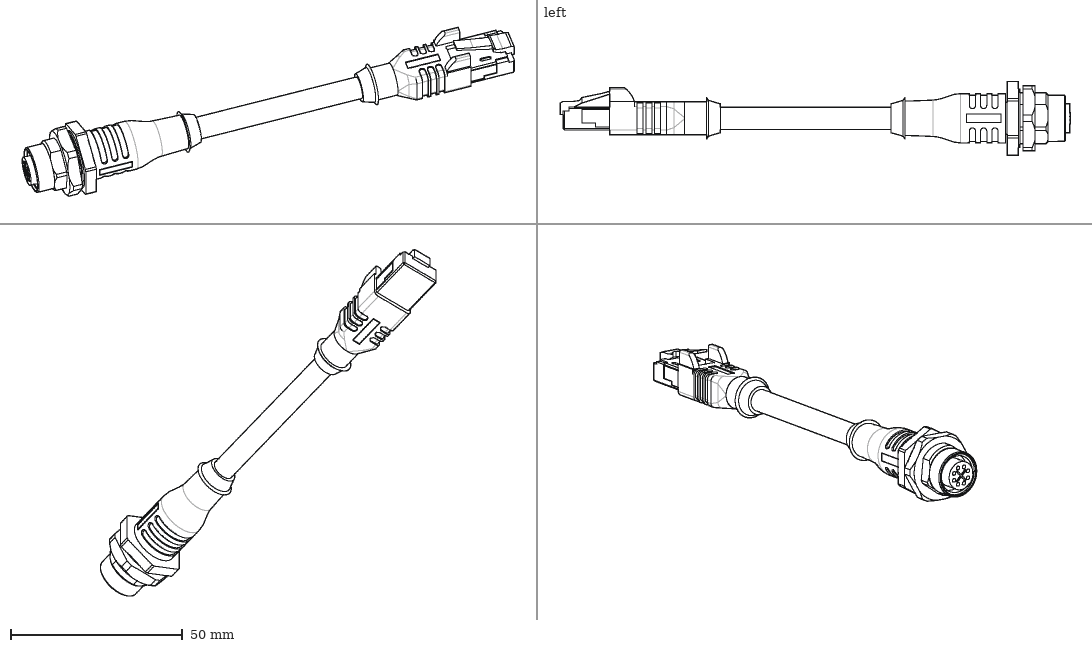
import cadquery as cq
import math

TOTAL_LENGTH = 148.7
BIG = 29.7
OVERLAP = 0.3

INSERT_DIAMETER = 8.5
CROSS_HEIGHT = 0.1
CROSS_LENGTH = 4.5
CROSS_WIDTH = 0.5
CONTACT_DIAMETER = 1.1
CONTACT_RADIUS = 2.7
CONTACT_SPREAD = 23.0
CONTACT_DEPTH = 3.0
SHELL_FRONT = 1.5
SHELL_DIAMETER = 13.5
SHELL_CHAMFER = 0.3
SHELL_MOUTH_DIAMETER = 12.3
SHELL_MOUTH_DEPTH = 0.7
SHELL_BORE_DIAMETER = 11.0
SHELL_BORE_DEPTH = 3.7

BODY_FRONT = 6.5
BODY_ACROSS_FLATS = 13.5
BODY_FLAT_ANGLES = (6, 126, 186, 306)
BODY_DIAMETER = 15.0
BODY_CHAMFER = 0.6
NUT_FRONT = 10.3
NUT_BACK = 13.8
HEX_ACROSS_FLATS = 19.0
NUT_CORNER_DIAMETER = 21.0
NUT_CHAMFER = 0.9
FLANGE_RING_FRONT = 14.7
FLANGE_RING_DIAMETER = 17.1
FLANGE_FRONT = 15.2
FLANGE_BACK = 18.5
FLANGE_CORNER_DIAMETER = 21.5
FLANGE_TURN = 30

NECK_DIAMETER = 9.4
GRIP_FRONT = 18.9
GRIP_BACK = 32.0
GRIP_DIAMETER = 14.4
SLEEVE_FRONT = 40.0
SLEEVE_FRONT_DIAMETER = 10.7
SLEEVE_BACK_DIAMETER = 10.1
LIP_FRONT = 48.2
GRIP_RELIEF_END = 52.3
GRIP_GROOVE_MIDDLE = 25.3
GRIP_GROOVE_PITCH = 3.3
GRIP_GROOVE_START = 2.8

RELIEF_TIP_DIAMETER = 8.5
RELIEF_BASE_DIAMETER = 10.5
LIP_DIAMETER = 12.2
LIP_LENGTH = 0.6
CABLE_DIAMETER = 6.5

GROOVE_WIDTH = 1.8
GROOVE_DEPTH = 0.5
LABEL_LENGTH = 10.0
LABEL_WIDTH = 2.4
LABEL_DEPTH = 0.3

BOOT_RELIEF_START = 102.0
BOOT_LIP = 106.0
BOOT_DIAMETER = 9.7
BOOT_HALF_WIDTH = 6.5
BOOT_NOSE = 112.4
BOOT_SHOULDER = 115.5
BOOT_SHOULDER_HALF_WIDTH = 5.5
BOOT_SHOULDER_RADIUS = 2.1
BOOT_TAPER_START = 117.6
BOOT_BACK = 134.3
BOOT_EDGE_RADIUS = 1.41
ALMOST_ROUND = 0.1
BOOT_GROOVE_MIDDLE = 122.8
BOOT_GROOVE_PITCH = 2.5
BOOT_GROOVE_START = 2.5
BOOT_LABEL_MIDDLE = 121.6

GUARD_INNER = 4.2
GUARD_OUTER = 6.1
GUARD_EDGE_RADIUS = 0.6
GUARD_TOP = 8.9
GUARD_CREST = 130.0
GUARD_TOE = 127.0
GUARD_BULGE = 0.3
POCKET_HALF_WIDTH = 3.1
POCKET_END = 129.7

PLUG_END = 147.8
PLUG_HALF_WIDTH = 6.1
PLUG_TOP = 3.3
PLUG_BOTTOM = -3.4
PLUG_CHAMFER = 0.5
PANEL_DEPTH = 0.22
PANEL_TOP = 2.5
PANEL_STEP = -1.41
PANEL_BOTTOM = -2.5
PANEL_END = 142.3
PANEL_STEP_END = 138.5
NOTCH_FLOOR = 2.1
NOTCH_START = 146.0
REBATE_INNER = 4.8
REBATE_DEPTH = 0.5
KEYHOLE_LENGTH = 3.3
KEYHOLE_WIDTH = 1.0
KEYHOLE_OFFSET = 3.5
KEYHOLE_MIDDLE = 139.6
KEYHOLE_DEPTH = 0.5

LATCH_HALF_WIDTH = 2.8
LATCH_ARM_HALF_WIDTH = 1.6
NOSE_BOTTOM = 1.0
NOSE_TIP_TOP = 4.5
NOSE_TOP = 4.9
NOSE_HEEL = 146.8
BRIDGE_START = 145.1
BRIDGE_BOTTOM = 3.0
BRIDGE_TOP = 5.2
ARM_START = 143.0
ARM_START_BOTTOM = 4.2
LATCH_STEP = 142.3
STEP_BOTTOM = 4.5
STEP_TOP = 6.1
ARM_BEND = 136.5
ARM_BEND_TOP = 7.3
LATCH_END = 131.5
LATCH_END_BOTTOM = 7.9
LATCH_END_TOP = 8.6


def cylinder(diameter, front, back):
    """Cylinder about the cable axis from Y = front to Y = back."""
    plane = cq.Workplane("XZ", origin=(0, back, 0))
    return plane.circle(diameter / 2).extrude(back - front)


def hexagon(across_flats, front, back, turn):
    """Hexagonal prism about the cable axis; without a turn, two corners are on the X axis."""
    corner_diameter = across_flats / math.cos(math.pi / 6)
    plane = cq.Workplane("XZ", origin=(0, back, 0))
    prism = plane.polygon(6, corner_diameter).extrude(back - front)
    return prism.rotate((0, 0, 0), (0, 1, 0), turn)


def box(x_range, y_range, z_range):
    """Box between the given limits."""
    sizes = [high - low for low, high in (x_range, y_range, z_range)]
    corner = (x_range[0], y_range[0], z_range[0])
    return cq.Workplane("XY").box(*sizes, centered=False).translate(corner)


def side_plate(points, x_start, x_end):
    """Outline of (Y, Z) points, extruded from X = x_start to X = x_end."""
    return cq.Workplane("YZ", origin=(x_start, 0, 0)).polyline(points).close().extrude(x_end - x_start)


def relief_end(tip, lip):
    """Cone widening from its tip on the cable, flaring out to a sharp lip at its base."""
    direction = math.copysign(1, lip - tip)
    return (
        cq.Workplane("XY")
        .moveTo(0, tip)
        .lineTo(RELIEF_TIP_DIAMETER / 2, tip)
        .lineTo(RELIEF_BASE_DIAMETER / 2, lip - direction * LIP_LENGTH)
        .lineTo(LIP_DIAMETER / 2, lip)
        .lineTo(0, lip)
        .close()
        .revolve(360, (0, 0, 0), (0, 1, 0))
    )


def socket_shell():
    """Round shell with a stepped mouth around the contact insert."""
    shell = cylinder(SHELL_DIAMETER, SHELL_FRONT, BODY_FRONT + OVERLAP)
    shell = shell.faces("<Y").edges().chamfer(SHELL_CHAMFER)
    mouth = cylinder(SHELL_MOUTH_DIAMETER, SHELL_FRONT, SHELL_FRONT + SHELL_MOUTH_DEPTH)
    bore = cylinder(SHELL_BORE_DIAMETER, SHELL_FRONT, SHELL_FRONT + SHELL_BORE_DEPTH)
    return shell.cut(mouth).cut(bore)


def contact_insert():
    """Insert with a raised shielding cross and a pair of contact holes in each quadrant."""
    insert = cylinder(INSERT_DIAMETER, CROSS_HEIGHT, BODY_FRONT)
    half_length = CROSS_LENGTH / 2
    half_width = CROSS_WIDTH / 2
    bar = box((-half_length, half_length), (0, CROSS_HEIGHT + OVERLAP), (-half_width, half_width))
    for angle in (45, 135):
        insert = insert.union(bar.rotate((0, 0, 0), (0, 1, 0), angle))
    hole = cylinder(CONTACT_DIAMETER, 0, CONTACT_DEPTH).translate((CONTACT_RADIUS, 0, 0))
    for quadrant in range(4):
        for spread in (-CONTACT_SPREAD, CONTACT_SPREAD):
            insert = insert.cut(hole.rotate((0, 0, 0), (0, 1, 0), 90 * quadrant + spread))
    return insert


def socket_body():
    """Round body with two pairs of wrench flats, carrying the nut and the flange."""
    body = cylinder(BODY_DIAMETER, BODY_FRONT, FLANGE_FRONT + OVERLAP)
    body = body.faces("<Y").edges().chamfer(BODY_CHAMFER)
    flat_distance = BODY_ACROSS_FLATS / 2
    flat = box((flat_distance, BIG), (BODY_FRONT, FLANGE_FRONT), (-BIG / 2, BIG / 2))
    for angle in BODY_FLAT_ANGLES:
        body = body.cut(flat.rotate((0, 0, 0), (0, 1, 0), angle))

    nut = hexagon(HEX_ACROSS_FLATS, NUT_FRONT, NUT_BACK, 0)
    rounding = cylinder(NUT_CORNER_DIAMETER, NUT_FRONT, NUT_BACK)
    nut = nut.intersect(rounding.faces("<Y").edges().chamfer(NUT_CHAMFER))

    flange = hexagon(HEX_ACROSS_FLATS, FLANGE_FRONT, FLANGE_BACK, FLANGE_TURN)
    flange = flange.intersect(cylinder(FLANGE_CORNER_DIAMETER, FLANGE_FRONT, FLANGE_BACK))
    ring = cylinder(FLANGE_RING_DIAMETER, FLANGE_RING_FRONT, FLANGE_FRONT + OVERLAP)
    return body.union(nut).union(flange).union(ring)


def grip():
    """Round grip that narrows in an S-curve to a sleeve."""
    sleeve_slope = (SLEEVE_BACK_DIAMETER / 2 - SLEEVE_FRONT_DIAMETER / 2, LIP_FRONT - SLEEVE_FRONT)
    shape = (
        cq.Workplane("XY")
        .moveTo(0, GRIP_FRONT)
        .lineTo(GRIP_DIAMETER / 2, GRIP_FRONT)
        .lineTo(GRIP_DIAMETER / 2, GRIP_BACK)
        .spline(
            [(SLEEVE_FRONT_DIAMETER / 2, SLEEVE_FRONT)],
            tangents=[(0, 1), sleeve_slope],
            includeCurrent=True,
        )
        .lineTo(SLEEVE_BACK_DIAMETER / 2, LIP_FRONT)
        .lineTo(0, LIP_FRONT)
        .close()
        .revolve(360, (0, 0, 0), (0, 1, 0))
    )
    skin = cylinder(GRIP_DIAMETER, GRIP_FRONT, GRIP_BACK)
    skin = skin.cut(cylinder(GRIP_DIAMETER - 2 * GROOVE_DEPTH, GRIP_FRONT, GRIP_BACK))
    for index in (-1, 0, 1):
        middle = GRIP_GROOVE_MIDDLE + index * GRIP_GROOVE_PITCH
        for side in (-1, 1):
            slot = (
                cq.Workplane("YZ", origin=(-BIG / 2, 0, 0))
                .center(middle, side * (GRIP_GROOVE_START + BIG / 2))
                .slot2D(BIG, GROOVE_WIDTH, 90)
                .extrude(BIG)
            )
            shape = shape.cut(skin.intersect(slot))
    half_length = LABEL_LENGTH / 2
    half_width = LABEL_WIDTH / 2
    floor = GRIP_DIAMETER / 2 - LABEL_DEPTH
    for side in (0, 180):
        label = box(
            (floor, floor + BIG),
            (GRIP_GROOVE_MIDDLE - half_length, GRIP_GROOVE_MIDDLE + half_length),
            (-half_width, half_width),
        )
        shape = shape.cut(label.rotate((0, 0, 0), (0, 1, 0), side))
    neck = cylinder(NECK_DIAMETER, FLANGE_BACK - OVERLAP, GRIP_FRONT + OVERLAP)
    return shape.union(neck).union(relief_end(GRIP_RELIEF_END, LIP_FRONT))


def boot_block(inset):
    """Flat block of the boot, blending into the round neck, shrunk by inset."""
    half_height = BOOT_DIAMETER / 2 - inset
    half_width = BOOT_HALF_WIDTH - inset
    block = box((-half_width, half_width), (BOOT_TAPER_START, BOOT_BACK), (-half_height, half_height))
    block = block.edges("|Y").fillet(BOOT_EDGE_RADIUS)
    nose_radius = half_height - ALMOST_ROUND
    stations = [
        (BOOT_TAPER_START, half_width, BOOT_EDGE_RADIUS),
        (BOOT_SHOULDER, BOOT_SHOULDER_HALF_WIDTH - inset, BOOT_SHOULDER_RADIUS),
        (BOOT_NOSE, half_height, nose_radius),
    ]
    plane = cq.Workplane("XZ", origin=(0, BOOT_TAPER_START, 0))
    sections = [
        cq.Sketch()
        .rect(2 * width, 2 * half_height)
        .vertices()
        .fillet(radius)
        .moved(cq.Location(cq.Vector(0, 0, BOOT_TAPER_START - y)))
        for y, width, radius in stations
    ]
    return block.union(plane.placeSketch(*sections).loft(ruled=True))


def latch_guard(x_start, x_end):
    """Upright guard beside the latch, with a sloping round nose."""
    boot_top = BOOT_DIAMETER / 2
    middle_y = (GUARD_CREST + GUARD_TOE) / 2 - GUARD_BULGE
    middle_z = (GUARD_TOP + boot_top) / 2 + GUARD_BULGE
    guard = (
        cq.Workplane("YZ", origin=(x_start, 0, 0))
        .moveTo(BOOT_BACK, PLUG_TOP)
        .lineTo(BOOT_BACK, GUARD_TOP)
        .lineTo(GUARD_CREST, GUARD_TOP)
        .threePointArc((middle_y, middle_z), (GUARD_TOE, boot_top))
        .lineTo(GUARD_TOE, PLUG_TOP)
        .close()
        .extrude(x_end - x_start)
    )
    return guard.faces(">Z").edges("|Y").fillet(GUARD_EDGE_RADIUS)


def boot():
    """Plug boot with side grooves, label recesses, latch guards and a latch pocket."""
    block = boot_block(0)
    skin = block.cut(boot_block(GROOVE_DEPTH))
    for index in (-1, 0, 1):
        middle = BOOT_GROOVE_MIDDLE + index * BOOT_GROOVE_PITCH
        for side in (-1, 1):
            slot = (
                cq.Workplane("XY", origin=(0, 0, -BIG / 2))
                .center(side * (BOOT_GROOVE_START + BIG / 2), middle)
                .slot2D(BIG, GROOVE_WIDTH)
                .extrude(BIG)
            )
            block = block.cut(skin.intersect(slot))
    half_length = LABEL_LENGTH / 2
    half_width = LABEL_WIDTH / 2
    floor = BOOT_DIAMETER / 2 - LABEL_DEPTH
    label = box(
        (-half_width, half_width),
        (BOOT_LABEL_MIDDLE - half_length, BOOT_LABEL_MIDDLE + half_length),
        (floor, floor + BIG),
    )
    neck = cylinder(BOOT_DIAMETER, BOOT_LIP, BOOT_TAPER_START)
    block = block.union(neck).cut(label).cut(label.mirror("XY"))
    ledge_top = BOOT_DIAMETER / 2
    ledge = box((GUARD_INNER, BOOT_HALF_WIDTH), (GUARD_TOE, BOOT_BACK), (PLUG_TOP, ledge_top))
    side = ledge.union(latch_guard(GUARD_INNER, GUARD_OUTER))
    block = block.union(side).union(side.mirror("YZ"))
    pocket = box(
        (-POCKET_HALF_WIDTH, POCKET_HALF_WIDTH), (POCKET_END, BOOT_BACK), (PLUG_TOP, ledge_top)
    )
    return block.cut(pocket).union(relief_end(BOOT_RELIEF_START, BOOT_LIP))


def plug():
    """Plug body with recessed side panels; its top has a front notch, side rebates and keyholes."""
    body = box(
        (-PLUG_HALF_WIDTH, PLUG_HALF_WIDTH), (BOOT_BACK - OVERLAP, PLUG_END), (PLUG_BOTTOM, PLUG_TOP)
    )
    body = body.edges("|Y or >Y").chamfer(PLUG_CHAMFER)
    panel_outline = [
        (BOOT_BACK, PANEL_TOP),
        (PANEL_END, PANEL_TOP),
        (PANEL_END, PANEL_STEP),
        (PANEL_STEP_END, PANEL_STEP),
        (PANEL_STEP_END, PANEL_BOTTOM),
        (BOOT_BACK, PANEL_BOTTOM),
    ]
    panel = side_plate(panel_outline, PLUG_HALF_WIDTH - PANEL_DEPTH, PLUG_HALF_WIDTH)
    keyhole = (
        cq.Workplane("XY", origin=(KEYHOLE_OFFSET, KEYHOLE_MIDDLE, PLUG_TOP - KEYHOLE_DEPTH))
        .slot2D(KEYHOLE_LENGTH, KEYHOLE_WIDTH, 90)
        .extrude(KEYHOLE_DEPTH)
    )
    rebate = box(
        (REBATE_INNER, PLUG_HALF_WIDTH), (PANEL_END, PLUG_END), (PLUG_TOP - REBATE_DEPTH, PLUG_TOP)
    )
    notch = box((-PLUG_HALF_WIDTH, PLUG_HALF_WIDTH), (NOTCH_START, PLUG_END), (NOTCH_FLOOR, PLUG_TOP))
    body = body.cut(notch)
    for recess in (panel, keyhole, rebate):
        body = body.cut(recess).cut(recess.mirror("YZ"))
    return body


def latch():
    """Springy latch: a wide nose at the plug's end and a narrower arm rising to the guards."""
    nose_outline = [
        (TOTAL_LENGTH, NOSE_BOTTOM),
        (TOTAL_LENGTH, NOSE_TIP_TOP),
        (PLUG_END, NOSE_TOP),
        (BRIDGE_START, NOSE_TOP),
        (ARM_START, BRIDGE_TOP),
        (LATCH_STEP, STEP_TOP),
        (LATCH_STEP, STEP_BOTTOM),
        (BRIDGE_START, BRIDGE_BOTTOM),
        (NOSE_HEEL, NOSE_BOTTOM),
    ]
    arm_outline = [
        (ARM_START, ARM_START_BOTTOM),
        (ARM_START, BRIDGE_TOP),
        (LATCH_STEP, STEP_TOP),
        (ARM_BEND, ARM_BEND_TOP),
        (LATCH_END, LATCH_END_TOP),
        (LATCH_END, LATCH_END_BOTTOM),
    ]
    nose = side_plate(nose_outline, -LATCH_HALF_WIDTH, LATCH_HALF_WIDTH)
    arm = side_plate(arm_outline, -LATCH_ARM_HALF_WIDTH, LATCH_ARM_HALF_WIDTH)
    return nose.union(arm)


result = cylinder(CABLE_DIAMETER, GRIP_RELIEF_END - OVERLAP, BOOT_RELIEF_START + OVERLAP)
for section in (grip(), socket_body(), socket_shell(), contact_insert(), boot(), plug(), latch()):
    result = result.union(section)